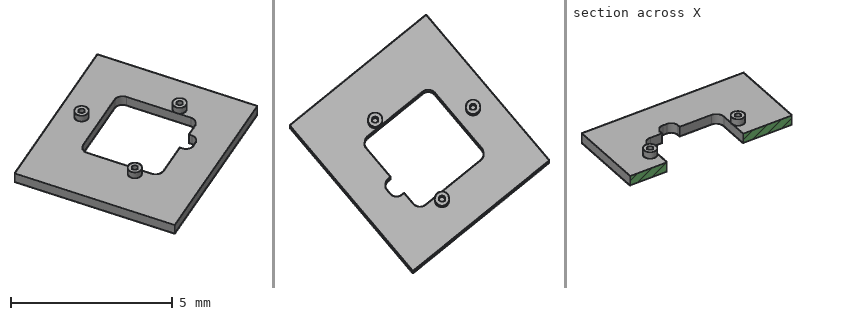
import cadquery as cq

plate_width = 5.5
plate_length = 6.0
plate_thickness = 0.37
total_height = 0.62

window_width = 2.76
window_length = 2.82
window_center_y = 0.22
window_corner_radius = 0.275

notch_depth = 0.35
notch_width = 0.655
notch_offset_y = 0.365
notch_corner_radius = 0.25

boss_diameter = 0.45
boss_hole_diameter = 0.2
boss_height = total_height - plate_thickness
side_boss_x = -1.975
pair_boss_x = 0.625
pair_boss_offset_y = 1.625

boss_centers = [
    (side_boss_x, window_center_y),
    (pair_boss_x, window_center_y + pair_boss_offset_y),
    (pair_boss_x, window_center_y - pair_boss_offset_y),
]


def make_window():
    """Cutter for the window with its corners rounded."""
    return (
        cq.Workplane("XY")
        .center(0, window_center_y)
        .rect(window_width, window_length)
        .extrude(plate_thickness)
        .edges("|Z")
        .fillet(window_corner_radius)
    )


def make_notch():
    """Cutter from the window centre line out to the rounded notch end."""
    notch_reach = window_width / 2 + notch_depth
    return (
        cq.Workplane("XY")
        .center(notch_reach / 2, window_center_y + notch_offset_y)
        .rect(notch_reach, notch_width)
        .extrude(plate_thickness)
        .edges("|Z and >X")
        .fillet(notch_corner_radius)
    )


def make_bosses():
    """Tubes standing on the plate, their holes ending at the plate's top face."""
    return (
        cq.Workplane("XY", origin=(0, 0, plate_thickness))
        .pushPoints(boss_centers)
        .circle(boss_diameter / 2)
        .circle(boss_hole_diameter / 2)
        .extrude(boss_height)
    )


plate = cq.Workplane("XY").box(
    plate_width, plate_length, plate_thickness, centered=(True, True, False)
)
result = plate.cut(make_window()).cut(make_notch()).union(make_bosses())